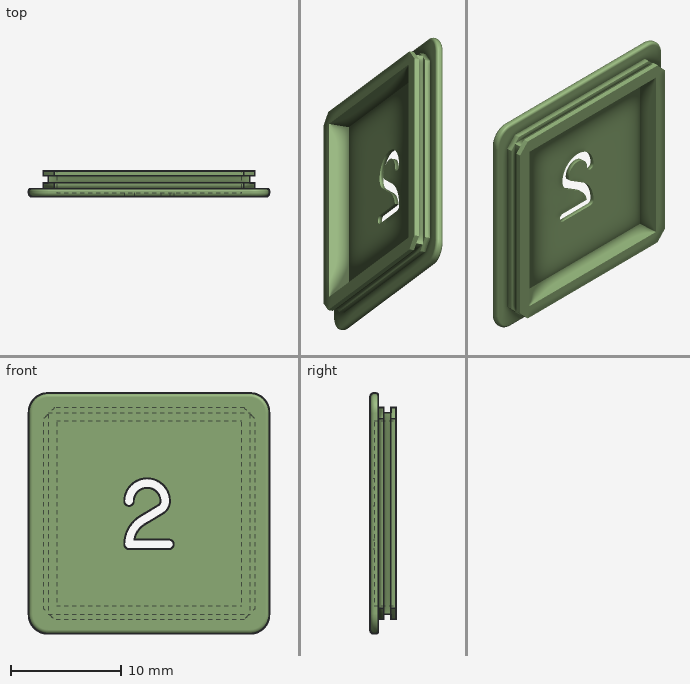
import cadquery as cq
import math

PLATE_SIDE = 21.84
PLATE_THICKNESS = 0.76
PLATE_CORNER_RADIUS = 1.78
PLATE_FRONT_EDGE_RADIUS = 0.38
PLATE_REAR_EDGE_RADIUS = 0.25

FLANGE_SIDE = 19.2
FLANGE_CORNER_CHAMFER = 1.02
FRONT_FLANGE_THICKNESS = 0.51
GROOVE_WIDTH = 0.63
GROOVE_DEPTH = 0.46
REAR_FLANGE_THICKNESS = 0.46
CORE_SIDE = FLANGE_SIDE - 2 * GROOVE_DEPTH

TOTAL_DEPTH = PLATE_THICKNESS + FRONT_FLANGE_THICKNESS + GROOVE_WIDTH + REAR_FLANGE_THICKNESS

FACE_THICKNESS = 0.38
CORE_WALL_THICKNESS = 0.76
POCKET_SIDE = CORE_SIDE - 2 * CORE_WALL_THICKNESS

STROKE_WIDTH = 0.84
STROKE_LEFT = -1.81
STROKE_RIGHT = 1.81
STROKE_BASE = -2.8
BOWL_CENTER_Z = 1.11
BOWL_RADIUS = 1.64
SHOULDER_RADIUS = 0.87
TAIL_RADIUS = 2.57


def square_layer(side, y_start, thickness):
    """Square slab centred on the Y axis, growing toward +Y from y_start."""
    return (
        cq.Workplane("XZ", origin=(0, y_start, 0))
        .rect(side, side)
        .extrude(-thickness)
    )


def make_plate():
    plate = square_layer(PLATE_SIDE, 0, PLATE_THICKNESS)
    plate = plate.edges("|Y").fillet(PLATE_CORNER_RADIUS)
    plate = plate.faces("<Y").edges().fillet(PLATE_FRONT_EDGE_RADIUS)
    return plate.faces(">Y").edges().fillet(PLATE_REAR_EDGE_RADIUS)


def make_flange(y_start, thickness):
    flange = square_layer(FLANGE_SIDE, y_start, thickness)
    return flange.edges("|Y").chamfer(FLANGE_CORNER_CHAMFER)


def make_backing():
    groove_start = PLATE_THICKNESS + FRONT_FLANGE_THICKNESS
    rear_flange_start = groove_start + GROOVE_WIDTH
    front_flange = make_flange(PLATE_THICKNESS, FRONT_FLANGE_THICKNESS)
    core = square_layer(CORE_SIDE, groove_start, GROOVE_WIDTH)
    rear_flange = make_flange(rear_flange_start, REAR_FLANGE_THICKNESS)
    return front_flange.union(core).union(rear_flange)


def make_pocket_cutter():
    return square_layer(POCKET_SIDE, FACE_THICKNESS, TOTAL_DEPTH - FACE_THICKNESS)


def point_on_circle(center, radius, angle):
    return (center[0] + radius * math.cos(angle), center[1] + radius * math.sin(angle))


def add_arc(outline, center, radius, start_angle, end_angle):
    """Continue the outline with an arc; the outline must already be at the arc's start."""
    middle_angle = (start_angle + end_angle) / 2
    return outline.threePointArc(
        point_on_circle(center, radius, middle_angle),
        point_on_circle(center, radius, end_angle),
    )


def make_numeral_cutter():
    half = STROKE_WIDTH / 2
    bowl_right = STROKE_LEFT + 2 * BOWL_RADIUS

    bowl = (STROKE_LEFT + BOWL_RADIUS, BOWL_CENTER_Z)
    shoulder = (bowl_right - SHOULDER_RADIUS, BOWL_CENTER_Z)
    tail = (STROKE_LEFT + TAIL_RADIUS, STROKE_BASE)
    tip = (STROKE_LEFT, BOWL_CENTER_Z)
    heel = (STROKE_LEFT, STROKE_BASE)
    toe = (STROKE_RIGHT, STROKE_BASE)

    offset_x = tail[0] - shoulder[0]
    drop_z = shoulder[1] - tail[1]
    center_distance = math.hypot(offset_x, drop_z)
    turn = math.asin((SHOULDER_RADIUS + TAIL_RADIUS) / center_distance) - math.atan2(offset_x, drop_z)
    tail_angle = math.pi - turn

    outline = cq.Workplane("XZ").moveTo(STROKE_LEFT - half, BOWL_CENTER_Z)
    outline = add_arc(outline, bowl, BOWL_RADIUS + half, math.pi, 0)
    outline = add_arc(outline, shoulder, SHOULDER_RADIUS + half, 0, -turn)
    outline = outline.lineTo(*point_on_circle(tail, TAIL_RADIUS - half, tail_angle))

    corner_angle = math.pi - math.asin(half / (TAIL_RADIUS - half))
    outline = add_arc(outline, tail, TAIL_RADIUS - half, tail_angle, corner_angle)

    outline = outline.lineTo(STROKE_RIGHT, STROKE_BASE + half)
    outline = add_arc(outline, toe, half, math.pi / 2, -math.pi / 2)
    outline = outline.lineTo(STROKE_LEFT, STROKE_BASE - half)
    outline = add_arc(outline, heel, half, -math.pi / 2, -math.pi)

    outline = add_arc(outline, tail, TAIL_RADIUS + half, math.pi, tail_angle)
    outline = outline.lineTo(*point_on_circle(shoulder, SHOULDER_RADIUS - half, -turn))
    outline = add_arc(outline, shoulder, SHOULDER_RADIUS - half, -turn, 0)
    outline = add_arc(outline, bowl, BOWL_RADIUS - half, 0, math.pi)
    outline = add_arc(outline, tip, half, 0, -math.pi)
    return outline.close().extrude(-FACE_THICKNESS)


body = make_plate().union(make_backing())
result = body.cut(make_pocket_cutter()).cut(make_numeral_cutter())